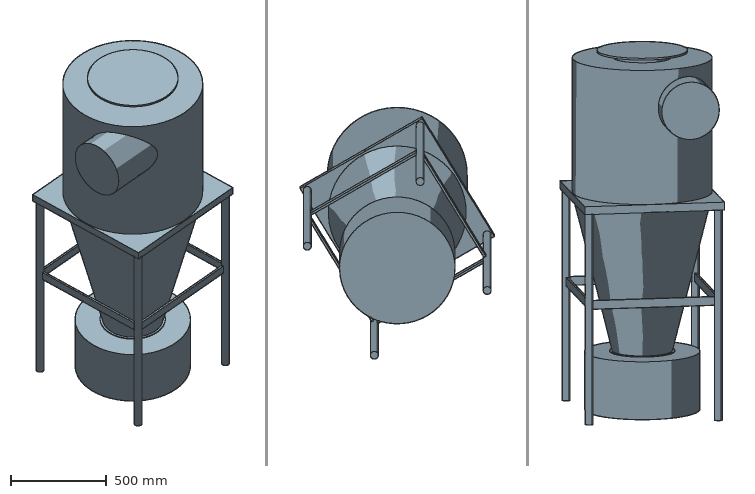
import cadquery as cq

total_height = 1911.0
body_top = 1870.0
plate_top = 1160.0
plate_thickness = 42.0
plate_bottom = plate_top - plate_thickness
drum_top = 313.0
drum_bottom = 5.0

body_diameter = 730.0
cone_inlet_diameter = 719.0
cone_outlet_diameter = 313.0
drum_diameter = 602.0
collar_diameter = 340.0
collar_height = 4.0
neck_diameter = 302.0
lid_diameter = 472.0
lid_thickness = 10.0

inlet_diameter = 304.0
inlet_x = 172.0
inlet_z = 1670.0

plate_side = 740.0
leg_diameter = 42.0
leg_offset = 342.0
brace_top = 655.0
brace_height = 45.0
brace_thickness = 11.0
brace_overhang = 4.0
brace_outer_side = 2 * (leg_offset + brace_overhang)

overall_depth = 843.0
inlet_reach = overall_depth - plate_side / 2


def upright_cylinder(diameter, bottom, top):
    return cq.Workplane("XY").workplane(offset=bottom).circle(diameter / 2).extrude(top - bottom)


def make_vessel():
    """Cylindrical body with lid on top, hopper cone below, thin outlet collar and collecting drum."""
    lid_bottom = total_height - lid_thickness
    body = upright_cylinder(body_diameter, plate_bottom, body_top)
    neck = upright_cylinder(neck_diameter, body_top, lid_bottom)
    lid = upright_cylinder(lid_diameter, lid_bottom, total_height)
    drum = upright_cylinder(drum_diameter, drum_bottom, drum_top)
    collar = upright_cylinder(collar_diameter, drum_top, drum_top + collar_height)
    cone = (
        cq.Workplane("XY")
        .workplane(offset=drum_top)
        .circle(cone_outlet_diameter / 2)
        .workplane(offset=plate_bottom - drum_top)
        .circle(cone_inlet_diameter / 2)
        .loft()
    )
    return body.union(neck).union(lid).union(cone).union(drum).union(collar)


def make_inlet():
    """Pipe from the mid-plane of the body out to its open end."""
    return (
        cq.Workplane("XZ")
        .center(inlet_x, inlet_z)
        .circle(inlet_diameter / 2)
        .extrude(inlet_reach)
    )


def make_stand():
    """Square plate on four round legs tied together by a thin square brace ring."""
    plate = (
        cq.Workplane("XY")
        .workplane(offset=plate_bottom)
        .rect(plate_side, plate_side)
        .extrude(plate_thickness)
    )
    legs = (
        cq.Workplane("XY")
        .rect(2 * leg_offset, 2 * leg_offset, forConstruction=True)
        .vertices()
        .circle(leg_diameter / 2)
        .extrude(plate_bottom)
    )
    brace_inner_side = brace_outer_side - 2 * brace_thickness
    braces = (
        cq.Workplane("XY")
        .workplane(offset=brace_top - brace_height)
        .rect(brace_outer_side, brace_outer_side)
        .rect(brace_inner_side, brace_inner_side)
        .extrude(brace_height)
    )
    return plate.union(legs).union(braces)


result = make_vessel().union(make_inlet()).union(make_stand())